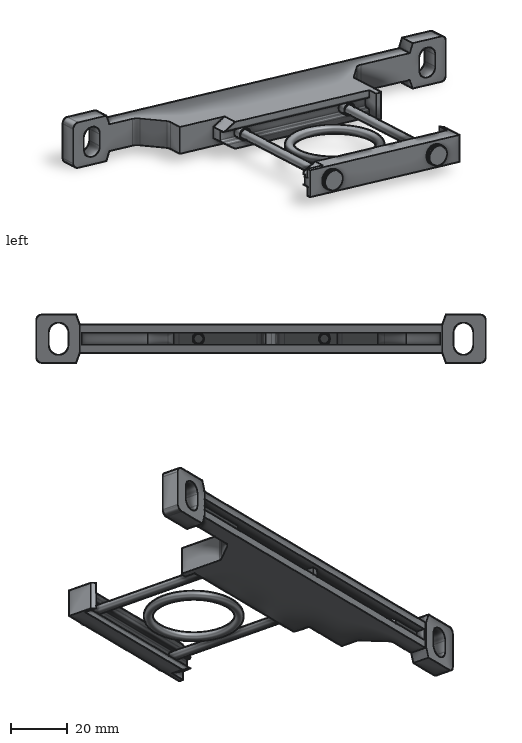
import cadquery as cq
import math

body_height = 10.1
jaw_center_y = -0.2
rod_spacing = 44.2
rod_ys = (jaw_center_y - rod_spacing / 2, jaw_center_y + rod_spacing / 2)
rod_diameter = 3.3

frame_length = 158.0
spine_back_x = 0.5
spine_front_x = 6.8
plate_taper_x = 16.0
taper_start_radius = 3.2
taper_end_radius = 2.2
plate_step_x = 22.9
plate_front_x = 29.5
upper_taper_y = 41.4
plate_top_y = 33.7
lower_taper_y = -52.6
plate_bottom_y = -44.7

ear_height = 17.0
ear_inner_y = 63.7
ear_shoulder_y = 65.0
ear_corner_radius = 2.0
ear_slot_y = 71.1
ear_slot_width = 6.8
ear_slot_height = 11.2

lip_inner_y = 31.1
groove_height = 4.0
frame_lip_tip_x = 33.8
frame_lip_chamfer = 0.6

frame_wedge_start_y = -25.8
frame_wedge_end_y = -30.5
frame_wedge_tip_height = 4.3
frame_groove_depth = 2.4
frame_groove_mouth_radius = 0.8
groove_corner_radius = 0.6

cavity_height = 4.3
cavity_end_y = 63.0
cavity_floor_x = 3.8
cavity_step_x = 19.9
cavity_deep_x = 24.2
cavity_upper_taper_y = 39.8
cavity_top_y = 30.7
cavity_taper_angle = 52.0
cavity_lower_taper_y = -51.0
cavity_bottom_y = -41.1
cavity_wedge_y = -26.9
cavity_top_radius = 1.7
cavity_taper_radius = 5.7
cavity_step_radius = 1.5
web_face_x = 2.4
web_face_ys = (-4.9, -1.7)
web_root_ys = (-6.3, 0.0)
web_lower_radius = 2.0
web_upper_radius = 1.6
web_face_radius = 1.5

boss_diameter = 4.6
boss_bore = 4.0
boss_end_x = 30.7

bar_back_x = 78.2
bar_front_x = 84.5
bar_top_y = 32.2
bar_bottom_y = -31.1
bar_plate_x = 82.8
bar_lip_tip_x = 73.3
bar_lip_bevel = 1.6
bar_wedge_start_y = -24.6
bar_wedge_tip_height = 3.3
bar_groove_depth = 2.8
bar_groove_mouth_radius = 1.3
head_flange_diameter = 7.6
head_flange_thickness = 1.0
head_cap_diameter = 7.5
head_end_x = 86.5

ring_center_x = 54.2
ring_center_z = -1.5
ring_wire_diameter = 3.3
ring_outer_diameter = 35.2


def plate_from_outline(points, height):
    """Extrude an XY outline symmetrically about Z = 0."""
    return cq.Workplane("XY").polyline(points).close().extrude(height / 2, both=True)


def x_cylinders(diameter, start_x, end_x):
    """One cylinder along X at each rod position."""
    return (
        cq.Workplane("YZ", origin=(start_x, 0, 0))
        .pushPoints([(y, 0) for y in rod_ys])
        .circle(diameter / 2)
        .extrude(end_x - start_x)
    )


def rounded_at(solid, point, radius):
    """Fillet the edge whose middle lies nearest to the point."""
    return solid.edges(cq.selectors.NearestToPointSelector(point)).fillet(radius)


def wedge(x_start, x_end, y_start, y_end, tip_height):
    """Block end that narrows in height toward -Y."""
    return (
        cq.Workplane("YZ", origin=(x_start, 0, 0))
        .polyline([
            (y_start, body_height / 2),
            (y_end, tip_height / 2),
            (y_end, -tip_height / 2),
            (y_start, -body_height / 2),
        ])
        .close()
        .extrude(x_end - x_start)
    )


def jaw_groove(face_x, inward, depth, mouth_radius, end_y):
    """Groove along Y with a rounded mouth, sunk into the jaw face in the inward X direction."""
    half = groove_height / 2
    length = lip_inner_y - end_y
    arc_mid_depth = mouth_radius * (1 - math.sqrt(0.5))
    arc_mid_z = half + arc_mid_depth
    channel = (
        cq.Workplane("XZ", origin=(face_x + inward * depth / 2, lip_inner_y, 0))
        .rect(depth, groove_height)
        .extrude(length)
        .edges("|Y and " + (">X" if inward > 0 else "<X"))
        .fillet(groove_corner_radius)
    )
    mouth = (
        cq.Workplane("XZ", origin=(face_x, lip_inner_y, 0))
        .moveTo(0, half + mouth_radius)
        .threePointArc((inward * arc_mid_depth, arc_mid_z), (inward * mouth_radius, half))
        .lineTo(inward * mouth_radius, -half)
        .threePointArc((inward * arc_mid_depth, -arc_mid_z), (0, -half - mouth_radius))
        .close()
        .extrude(length)
    )
    return channel.union(mouth)


def mounting_ear():
    """Ear at the +Y end, with a slotted hole through it."""
    half = ear_height / 2
    ear = (
        cq.Workplane("YZ")
        .polyline([
            (ear_inner_y, body_height / 2),
            (ear_shoulder_y, half),
            (frame_length / 2, half),
            (frame_length / 2, -half),
            (ear_shoulder_y, -half),
            (ear_inner_y, -body_height / 2),
        ])
        .close()
        .extrude(spine_front_x)
        .edges("|X and >Y")
        .fillet(ear_corner_radius)
    )
    slot = (
        cq.Workplane("YZ")
        .center(ear_slot_y, 0)
        .slot2D(ear_slot_height, ear_slot_width, 90)
        .extrude(spine_front_x)
    )
    return ear.cut(slot)


def frame_plate():
    """Spine and plate, with the lip at the +Y end of the jaw."""
    plate = plate_from_outline([
        (spine_back_x, -ear_inner_y),
        (spine_front_x, -ear_inner_y),
        (spine_front_x, lower_taper_y),
        (plate_taper_x, plate_bottom_y),
        (plate_step_x, plate_bottom_y),
        (plate_step_x, frame_wedge_start_y),
        (plate_front_x, frame_wedge_start_y),
        (plate_front_x, lip_inner_y),
        (frame_lip_tip_x, lip_inner_y),
        (frame_lip_tip_x, plate_top_y - frame_lip_chamfer),
        (frame_lip_tip_x - frame_lip_chamfer, plate_top_y),
        (plate_taper_x, plate_top_y),
        (spine_front_x, upper_taper_y),
        (spine_front_x, ear_inner_y),
        (spine_back_x, ear_inner_y),
    ], body_height)
    taper_corners = [
        ((spine_front_x, lower_taper_y, 0), taper_start_radius),
        ((plate_taper_x, plate_bottom_y, 0), taper_end_radius),
        ((plate_taper_x, plate_top_y, 0), taper_end_radius),
        ((spine_front_x, upper_taper_y, 0), taper_start_radius),
    ]
    for corner, radius in taper_corners:
        plate = rounded_at(plate, corner, radius)
    return plate


def frame_cavity():
    """Hollow behind the plate, following its outline, around a tapered web."""
    taper_slope = math.tan(math.radians(cavity_taper_angle))
    upper_taper_end_x = cavity_floor_x + (cavity_upper_taper_y - cavity_top_y) / taper_slope
    lower_taper_end_x = cavity_floor_x + (cavity_bottom_y - cavity_lower_taper_y) / taper_slope
    cavity = plate_from_outline([
        (spine_back_x, -cavity_end_y),
        (cavity_floor_x, -cavity_end_y),
        (cavity_floor_x, cavity_lower_taper_y),
        (lower_taper_end_x, cavity_bottom_y),
        (cavity_step_x, cavity_bottom_y),
        (cavity_step_x, cavity_wedge_y),
        (cavity_deep_x, cavity_wedge_y),
        (cavity_deep_x, cavity_top_y),
        (upper_taper_end_x, cavity_top_y),
        (cavity_floor_x, cavity_upper_taper_y),
        (cavity_floor_x, cavity_end_y),
        (spine_back_x, cavity_end_y),
    ], cavity_height)
    web = plate_from_outline([
        (web_face_x, web_face_ys[0]),
        (cavity_deep_x, web_root_ys[0]),
        (cavity_deep_x, web_root_ys[1]),
        (web_face_x, web_face_ys[1]),
    ], cavity_height)
    cavity = cavity.cut(web)
    corners = [
        ((upper_taper_end_x, cavity_top_y, 0), cavity_taper_radius),
        ((lower_taper_end_x, cavity_bottom_y, 0), cavity_taper_radius),
        ((cavity_deep_x, cavity_top_y, 0), cavity_top_radius),
        ((cavity_step_x, cavity_wedge_y, 0), cavity_step_radius),
        ((cavity_deep_x, web_root_ys[0], 0), web_lower_radius),
        ((cavity_deep_x, web_root_ys[1], 0), web_upper_radius),
        ((web_face_x, web_face_ys[0], 0), web_face_radius),
    ]
    for corner, radius in corners:
        cavity = rounded_at(cavity, corner, radius)
    return cavity


def make_frame():
    ear = mounting_ear()
    frame = frame_plate().union(ear).union(ear.mirror("XZ"))
    frame = frame.union(wedge(
        plate_step_x, plate_front_x, frame_wedge_start_y, frame_wedge_end_y, frame_wedge_tip_height,
    ))
    frame = frame.cut(jaw_groove(
        plate_front_x, -1, frame_groove_depth,
        frame_groove_mouth_radius, frame_wedge_end_y,
    ))
    frame = frame.cut(frame_cavity())
    frame = frame.union(x_cylinders(boss_diameter, cavity_deep_x, boss_end_x))
    return frame.cut(x_cylinders(boss_bore, cavity_deep_x, boss_end_x))


def make_clamp():
    """Clamp bar in one piece with its two guide rods and their heads."""
    bar = plate_from_outline([
        (bar_back_x, bar_wedge_start_y),
        (bar_back_x, lip_inner_y),
        (bar_lip_tip_x, lip_inner_y),
        (bar_lip_tip_x + bar_lip_bevel, bar_top_y),
        (bar_front_x, bar_top_y),
        (bar_front_x, bar_bottom_y),
        (bar_plate_x, bar_bottom_y),
        (bar_plate_x, bar_wedge_start_y),
    ], body_height)
    bar = bar.union(wedge(
        bar_back_x, bar_plate_x, bar_wedge_start_y, bar_bottom_y, bar_wedge_tip_height,
    ))
    bar = bar.cut(jaw_groove(
        bar_back_x, 1, bar_groove_depth,
        bar_groove_mouth_radius, bar_bottom_y,
    ))
    flange_end_x = bar_front_x + head_flange_thickness
    rods = x_cylinders(rod_diameter, cavity_deep_x, bar_front_x)
    flanges = x_cylinders(head_flange_diameter, bar_front_x, flange_end_x)
    caps = x_cylinders(head_cap_diameter, flange_end_x, head_end_x)
    return bar.union(rods).union(flanges).union(caps)


def make_ring():
    wire_radius = ring_wire_diameter / 2
    path_radius = ring_outer_diameter / 2 - wire_radius
    return cq.Workplane(cq.Solid.makeTorus(
        path_radius, wire_radius, cq.Vector(ring_center_x, jaw_center_y, ring_center_z), cq.Vector(0, 0, 1),
    ))


frame = make_frame()
clamp = make_clamp()
ring = make_ring()

result = cq.Compound.makeCompound([frame.val(), clamp.val(), ring.val()])